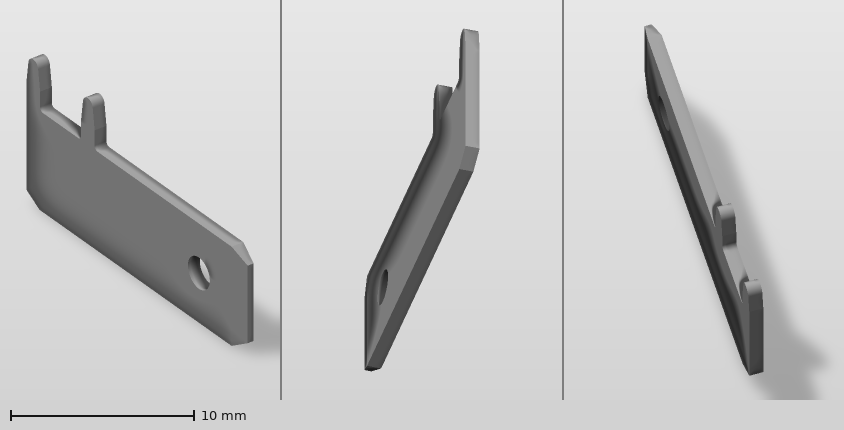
import cadquery as cq
import math

blade_length = 20.0
blade_height = 6.35
thickness = 0.8

corner_length = 1.2
corner_angle = 30.0
corner_height = corner_length * math.tan(math.radians(corner_angle))
tip_thickness = 0.4

hole_diameter = 2.0
hole_x = 15.8

overall_height = 9.34
pin_width = 1.25
pin_pitch = 5.0
pin_count = 2
pin_tip_radius = 0.45
pin_taper_length = 1.75
root_fillet_radius = 0.25

half_pin = pin_width / 2
taper_start_z = overall_height - pin_taper_length
tip_center_z = overall_height - pin_tip_radius

corner_to_center = math.hypot(half_pin, tip_center_z - taper_start_z)
taper_angle = (
    math.atan2(half_pin, tip_center_z - taper_start_z)
    - math.asin(pin_tip_radius / corner_to_center)
)
tangent_half_width = pin_tip_radius * math.cos(taper_angle)
tangent_z = tip_center_z + pin_tip_radius * math.sin(taper_angle)


def extrude_across_thickness(sketch):
    """Extrude an XZ outline symmetrically about Y = 0."""
    return sketch.extrude(thickness / 2, both=True)


def make_blade():
    """Blade plate with three slanted corners."""
    outline = (
        cq.Workplane("XZ")
        .moveTo(0, corner_height)
        .lineTo(corner_length, 0)
        .lineTo(blade_length - corner_length, 0)
        .lineTo(blade_length, corner_height)
        .lineTo(blade_length, blade_height - corner_height)
        .lineTo(blade_length - corner_length, blade_height)
        .lineTo(0, blade_height)
        .close()
    )
    return extrude_across_thickness(outline)


def make_pin(left_x):
    """Tapered, round-tipped pin reaching down into the blade."""
    center_x = left_x + half_pin
    outline = (
        cq.Workplane("XZ")
        .moveTo(left_x, blade_height / 2)
        .lineTo(left_x, taper_start_z)
        .lineTo(center_x - tangent_half_width, tangent_z)
        .threePointArc(
            (center_x, overall_height),
            (center_x + tangent_half_width, tangent_z),
        )
        .lineTo(left_x + pin_width, taper_start_z)
        .lineTo(left_x + pin_width, blade_height / 2)
        .close()
    )
    return extrude_across_thickness(outline)


def fillet_pin_root(body, side_x):
    """Round the inside corner where a pin side meets the blade's top edge."""
    reach = root_fillet_radius / 2
    selector = cq.selectors.BoxSelector(
        (side_x - reach, -thickness, blade_height - reach),
        (side_x + reach, thickness, blade_height + reach),
    )
    return body.edges("|Y").edges(selector).fillet(root_fillet_radius)


def make_thickness_envelope():
    """Plan profile that thins both faces toward the insertion end."""
    half_thickness = thickness / 2
    half_tip = tip_thickness / 2
    return (
        cq.Workplane("XY")
        .moveTo(0, -half_thickness)
        .lineTo(blade_length - corner_length, -half_thickness)
        .lineTo(blade_length, -half_tip)
        .lineTo(blade_length, half_tip)
        .lineTo(blade_length - corner_length, half_thickness)
        .lineTo(0, half_thickness)
        .close()
        .extrude(overall_height)
    )


def make_hole():
    """Cylinder that removes the through hole."""
    outline = cq.Workplane("XZ").center(hole_x, blade_height / 2).circle(hole_diameter / 2)
    return extrude_across_thickness(outline)


result = make_blade()
for index in range(pin_count):
    pin_left_x = index * pin_pitch
    result = result.union(make_pin(pin_left_x))
    result = fillet_pin_root(result, pin_left_x + pin_width)
    if index > 0:
        result = fillet_pin_root(result, pin_left_x)

result = result.intersect(make_thickness_envelope()).cut(make_hole())